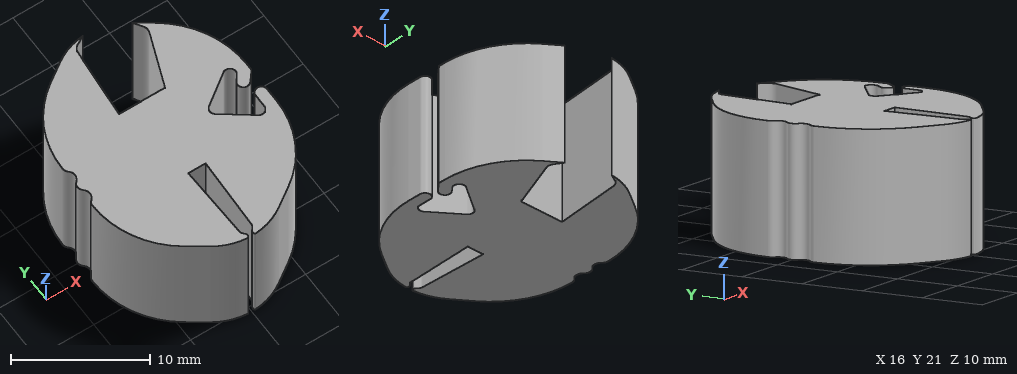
import math

import cadquery as cq

height = 10.0

half_width = 8.0
half_length = 10.5
side_center_y = 1.91
end_radius = 5.25

ridge_radius = 0.6
scallop_radius = 0.66

wide_floor_y = 3.5
wide_floor_half_width = 2.0
wide_left_draft = 5.0
wide_right_draft = 20.9
wide_left_knee_y = 9.9
wide_right_knee_y = 8.39
wide_left_mouth_x = -0.38
wide_right_mouth_x = 3.2
wide_right_mouth_y = 9.38
wide_knee_radius = 0.75

narrow_floor_y = -3.5
narrow_floor_half_width = 0.75
narrow_draft = 2.0
narrow_knee_y = -9.86
narrow_mouth_half_width = 0.22
narrow_lip_angle = 45.0
narrow_knee_radius = 0.5
narrow_lip_radius = 0.3
narrow_tip_radius = 0.13

groove_radius = 0.5
groove_apex_center_x = 4.0
groove_half_angle = 36.0
lip_thickness = 1.0
straight_lip_end_y = -0.22
slanted_lip_root_y = 1.29
slanted_lip_angle = 51.0
slanted_lip_length = 1.57

overcut = 1.0


def tangent(degrees):
    return math.tan(math.radians(degrees))


def toward(start, end, distance):
    """Point at a distance from start, on the way to end."""
    length = math.dist(start, end)
    return tuple(a + (b - a) * distance / length for a, b in zip(start, end))


def rounded_prism(corners):
    """Extrude a closed polygon given as (x, y, corner radius)."""
    path = None
    for index, (x, y, radius) in enumerate(corners):
        point = (x, y)
        before = corners[index - 1][:2]
        after = corners[(index + 1) % len(corners)][:2]
        entry = point
        if radius:
            heading_in = math.atan2(before[1] - y, before[0] - x)
            heading_out = math.atan2(after[1] - y, after[0] - x)
            half_angle = abs(math.remainder(heading_out - heading_in, math.tau)) / 2
            setback = radius / math.tan(half_angle)
            entry = toward(point, before, setback)
            leave = toward(point, after, setback)
            chord_middle = tuple((a + b) / 2 for a, b in zip(entry, leave))
            to_arc = radius / math.sin(half_angle) - radius
            arc_middle = toward(point, chord_middle, to_arc)
        if path is None:
            path = cq.Workplane("XY").moveTo(*entry)
            end = entry
        if math.dist(end, entry) > 1e-6:
            path = path.lineTo(*entry)
        end = entry
        if radius:
            path = path.threePointArc(arc_middle, leave)
            end = leave
    return path.close().extrude(height)


def egg_body():
    end_center_y = half_length - end_radius
    normal = math.acos((half_width - end_radius) / (end_center_y - side_center_y))
    half_sweep = (math.pi / 2 - normal) / 2

    side_mid = (half_width * math.cos(half_sweep), side_center_y + half_width * math.sin(half_sweep))
    side_end = (half_width * math.sin(normal), side_center_y + half_width * math.cos(normal))
    end_start = (end_radius * math.sin(normal), end_center_y + end_radius * math.cos(normal))

    pitch = side_center_y / 2
    center_distance = ridge_radius + scallop_radius
    center_offset = math.sqrt(center_distance**2 - pitch**2)
    ridge_center_x = ridge_radius - half_width
    scallop_bottom_x = ridge_center_x - center_offset + scallop_radius
    ridge_share = ridge_radius / center_distance
    joint_x = ridge_center_x - center_offset * ridge_share
    joint_rise = pitch * ridge_share
    half_turn = math.asin(pitch / center_distance) / 2
    shoulder_x = ridge_center_x - ridge_radius * math.cos(half_turn)
    shoulder_y = side_center_y - ridge_radius * math.sin(half_turn)

    return (
        cq.Workplane("XY")
        .moveTo(half_width, -side_center_y)
        .lineTo(half_width, side_center_y)
        .threePointArc(side_mid, side_end)
        .lineTo(*end_start)
        .threePointArc((0, half_length), (-end_start[0], end_start[1]))
        .lineTo(-side_end[0], side_end[1])
        .threePointArc((-side_mid[0], side_mid[1]), (-half_width, side_center_y))
        .threePointArc((shoulder_x, shoulder_y), (joint_x, side_center_y - joint_rise))
        .threePointArc((scallop_bottom_x, pitch), (joint_x, joint_rise))
        .threePointArc((-half_width, 0), (joint_x, -joint_rise))
        .threePointArc((scallop_bottom_x, -pitch), (joint_x, joint_rise - side_center_y))
        .threePointArc((shoulder_x, -shoulder_y), (-half_width, -side_center_y))
        .threePointArc((-side_mid[0], -side_mid[1]), (-side_end[0], -side_end[1]))
        .lineTo(-end_start[0], -end_start[1])
        .threePointArc((0, -half_length), (end_start[0], -end_start[1]))
        .lineTo(side_end[0], -side_end[1])
        .threePointArc((side_mid[0], -side_mid[1]), (half_width, -side_center_y))
        .close()
        .extrude(height)
    )


def wide_slot():
    left_knee_x = (wide_left_knee_y - wide_floor_y) * tangent(wide_left_draft) - wide_floor_half_width
    right_knee_x = (wide_right_knee_y - wide_floor_y) * tangent(wide_right_draft) + wide_floor_half_width
    end_center_y = half_length - end_radius
    left_mouth_y = end_center_y + math.sqrt(end_radius**2 - wide_left_mouth_x**2)
    return rounded_prism([
        (-wide_floor_half_width, wide_floor_y, 0),
        (wide_floor_half_width, wide_floor_y, 0),
        (right_knee_x, wide_right_knee_y, wide_knee_radius),
        (wide_right_mouth_x, wide_right_mouth_y, 0),
        (wide_right_mouth_x, half_length + overcut, 0),
        (wide_left_mouth_x, half_length + overcut, 0),
        (wide_left_mouth_x, left_mouth_y, 0),
        (left_knee_x, wide_left_knee_y, wide_knee_radius),
    ])


def narrow_slot():
    knee_x = narrow_floor_half_width - (narrow_floor_y - narrow_knee_y) * tangent(narrow_draft)
    lip_y = narrow_knee_y - (knee_x - narrow_mouth_half_width) * tangent(narrow_lip_angle)
    bottom_y = -half_length - overcut
    right_side = [
        (narrow_floor_half_width, narrow_floor_y, 0),
        (knee_x, narrow_knee_y, narrow_knee_radius),
        (narrow_mouth_half_width, lip_y, narrow_lip_radius),
        (narrow_mouth_half_width, bottom_y, 0),
    ]
    left_side = [(-x, y, radius) for x, y, radius in reversed(right_side)]
    return rounded_prism(right_side + left_side)


def side_groove():
    slope = tangent(groove_half_angle)
    apex_x = groove_apex_center_x - groove_radius / math.sin(math.radians(groove_half_angle))
    inner_x = half_width - lip_thickness
    lower_y = -(inner_x - apex_x) * slope

    angle = math.radians(slanted_lip_angle)
    along = (-math.cos(angle), -math.sin(angle))
    inward = (-math.sin(angle), math.cos(angle))
    tip_outer_x = half_width + slanted_lip_length * along[0]
    tip_outer_y = slanted_lip_root_y + slanted_lip_length * along[1]
    tip_inner_x = tip_outer_x + lip_thickness * inward[0]
    tip_inner_y = tip_outer_y + lip_thickness * inward[1]

    lip_slope = tangent(slanted_lip_angle)
    upper_x = (tip_inner_y - lip_slope * tip_inner_x + slope * apex_x) / (slope - lip_slope)
    upper_y = (upper_x - apex_x) * slope

    lip_radius = lip_thickness / 2
    return rounded_prism([
        (apex_x, 0, groove_radius),
        (inner_x, lower_y, groove_radius),
        (inner_x, straight_lip_end_y, lip_radius),
        (half_width, straight_lip_end_y, lip_radius),
        (half_width, straight_lip_end_y - lip_thickness, 0),
        (half_width + overcut, straight_lip_end_y - lip_thickness, 0),
        (half_width + overcut, slanted_lip_root_y, 0),
        (half_width, slanted_lip_root_y, 0),
        (tip_outer_x, tip_outer_y, lip_radius),
        (tip_inner_x, tip_inner_y, lip_radius),
        (upper_x, upper_y, groove_radius),
    ])


def round_lip_tips(body):
    """Round the outer corners of the narrow slot's mouth."""
    for side in (-1, 1):
        corner = (side * narrow_mouth_half_width, -half_length, height / 2)
        body = body.edges(cq.selectors.NearestToPointSelector(corner)).fillet(narrow_tip_radius)
    return body


body = egg_body().cut(wide_slot()).cut(narrow_slot()).cut(side_groove())
result = round_lip_tips(body)